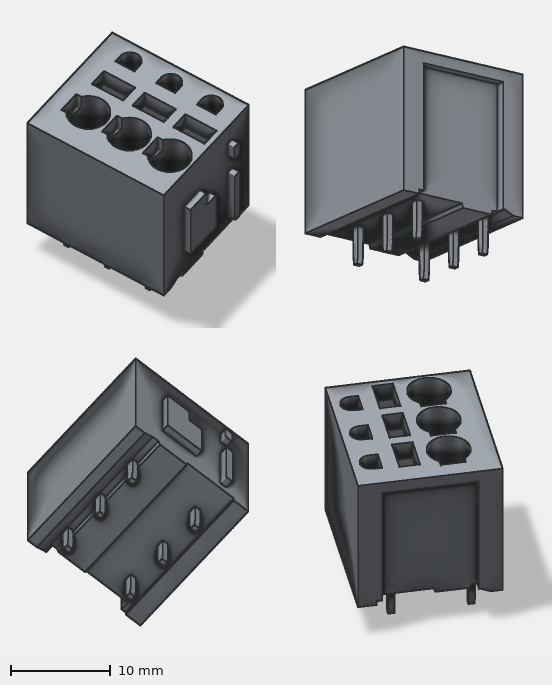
import cadquery as cq


WIDTH, DEPTH, HEIGHT = 16.75, 14.8, 15.2
POLES = 3
PITCH = 5.0

FLOOR_Z = 0.47
FRONT_FOOT_Y = 1.2
FRONT_SLOPE_END_Y = 2.25
RIB_FRONT_Y, RIB_FRONT_TOP_Y = 3.2, 3.0
RIB_BACK_Y, RIB_BACK_TOP_Y = 6.71, 6.83
BACK_FOOT_Y = 12.88

RECESS_DEPTH = 1.0
RECESS_FRONT_Y, RECESS_BACK_Y = 2.43, 12.3
RECESS_TOP_Z = 13.93

WELL_X, WELL_Y = 4.2, 4.7
WELL_RADIUS, WELL_DEPTH = 2.2, 5.05
SLOT_LEFT_X, SLOT_WIDTH = 1.8, 2.58
SLOT_DEPTH, SLOT_FILLET = 2.0, 0.67
WINDOW_LENGTH, WINDOW_WIDTH = 3.83, 2.11
WINDOW_Y, WINDOW_DEPTH = 9.05, 2.0
ARCH_X, ARCH_RADIUS = 3.65, 1.16
ARCH_FLAT_Y, ARCH_CENTER_Y = 11.82, 12.72
ARCH_DEPTH = 5.05

BOSS_PROJECTION = 0.8
RAIL_PROJECTION = 0.9
BOSS_FILLET = 0.22
KEY_Y, KEY_WIDTH = 11.54, 0.86
KEY_BOTTOM_Z, KEY_TOP_Z = 10.8, 12.68
RAIL_BOTTOM_Z, RAIL_TOP_Z = 1.63, 8.38
PLATE_FRONT_Y, PLATE_STEP_Y, PLATE_BACK_Y = 3.52, 6.34, 7.98
PLATE_BOTTOM_Z, PLATE_TOP_Z = 3.53, 10.25
PLATE_STEP_Z = RAIL_TOP_Z
PLATE_STEP_FILLET = 0.15

PIN_X = 3.2
PIN_ROWS_Y = (2.6, 10.8)
PIN_WIDTH, PIN_THICKNESS = 0.8, 0.65
PIN_END_Z = -3.5
TIP_WIDTH, TIP_LENGTH = 0.55, 0.86


def box(x0, x1, y0, y1, z0, z1):
    """Axis-aligned box between two opposite corners."""
    return cq.Workplane("XY").box(x1 - x0, y1 - y0, z1 - z0, centered=False).translate((x0, y0, z0))


def block():
    """Housing cross-section with its stepped underside, swept along X."""
    return (
        cq.Workplane("YZ")
        .polyline([
            (0, HEIGHT),
            (0, 0),
            (FRONT_FOOT_Y, 0),
            (FRONT_SLOPE_END_Y, FLOOR_Z),
            (RIB_FRONT_TOP_Y, FLOOR_Z),
            (RIB_FRONT_Y, 0),
            (RIB_BACK_Y, 0),
            (RIB_BACK_TOP_Y, FLOOR_Z),
            (BACK_FOOT_Y, FLOOR_Z),
            (BACK_FOOT_Y, 0),
            (DEPTH, 0),
            (DEPTH, HEIGHT),
        ])
        .close()
        .extrude(WIDTH)
    )


def mating_recess():
    """Shallow pocket in the -X side, open at the bottom."""
    return box(0, RECESS_DEPTH, RECESS_FRONT_Y, RECESS_BACK_Y, 0, RECESS_TOP_Z)


def wire_entry():
    """Round well with a shallower rounded-bottom slot on its -X side."""
    well = (
        cq.Workplane("XY", origin=(WELL_X, WELL_Y, HEIGHT))
        .circle(WELL_RADIUS)
        .extrude(-WELL_DEPTH)
    )
    half_width = SLOT_WIDTH / 2
    slot = box(
        SLOT_LEFT_X, WELL_X, WELL_Y - half_width, WELL_Y + half_width, HEIGHT - SLOT_DEPTH, HEIGHT
    )
    slot = slot.edges("|X and <Z").fillet(SLOT_FILLET)
    return well.union(slot)


def window():
    """Rectangular pocket."""
    return (
        cq.Workplane("XY", origin=(WELL_X, WINDOW_Y, HEIGHT))
        .rect(WINDOW_LENGTH, WINDOW_WIDTH)
        .extrude(-WINDOW_DEPTH)
    )


def arch_opening():
    """D-shaped pocket: flat on the -Y side, half round on the +Y side."""
    return (
        cq.Workplane("XY", origin=(ARCH_X, 0, HEIGHT))
        .moveTo(-ARCH_RADIUS, ARCH_FLAT_Y)
        .lineTo(ARCH_RADIUS, ARCH_FLAT_Y)
        .lineTo(ARCH_RADIUS, ARCH_CENTER_Y)
        .threePointArc((0, ARCH_CENTER_Y + ARCH_RADIUS), (-ARCH_RADIUS, ARCH_CENTER_Y))
        .close()
        .extrude(-ARCH_DEPTH)
    )


def rounded_bar(bottom_z, top_z, projection):
    """Narrow upright boss with its four long edges rounded."""
    half_width = KEY_WIDTH / 2
    bar = box(WIDTH, WIDTH + projection, KEY_Y - half_width, KEY_Y + half_width, bottom_z, top_z)
    return bar.edges("|X").fillet(BOSS_FILLET)


def stepped_plate():
    """L-shaped boss, lower behind the step, with rounded steps."""
    front = box(
        WIDTH, WIDTH + BOSS_PROJECTION, PLATE_FRONT_Y, PLATE_STEP_Y, PLATE_BOTTOM_Z, PLATE_TOP_Z
    ).edges("|X and >Y and >Z").fillet(BOSS_FILLET)
    back = box(
        WIDTH, WIDTH + BOSS_PROJECTION, PLATE_STEP_Y, PLATE_BACK_Y, PLATE_BOTTOM_Z, PLATE_STEP_Z
    ).edges("|X and >Y and >Z").fillet(BOSS_FILLET)
    inner_corner = cq.NearestToPointSelector(
        (WIDTH + BOSS_PROJECTION / 2, PLATE_STEP_Y, PLATE_STEP_Z)
    )
    return front.union(back).edges(inner_corner).fillet(PLATE_STEP_FILLET)


def make_housing():
    body = block().cut(mating_recess())
    openings = wire_entry().add(window()).add(arch_opening())
    for pole in range(POLES):
        for opening in openings.vals():
            body = body.cut(cq.Workplane(opening.translate(cq.Vector(pole * PITCH, 0, 0))))
    body = body.union(rounded_bar(KEY_BOTTOM_Z, KEY_TOP_Z, BOSS_PROJECTION))
    body = body.union(rounded_bar(RAIL_BOTTOM_Z, RAIL_TOP_Z, RAIL_PROJECTION))
    return body.union(stepped_plate())


def make_pin(x, y):
    """Flat pin hanging from the raised floor, tapered at its end."""
    half_width = PIN_WIDTH / 2
    half_tip = TIP_WIDTH / 2
    taper_z = PIN_END_Z + TIP_LENGTH
    return (
        cq.Workplane("XZ", origin=(x, y, 0))
        .polyline([
            (-half_width, FLOOR_Z),
            (-half_width, taper_z),
            (-half_tip, PIN_END_Z),
            (half_tip, PIN_END_Z),
            (half_width, taper_z),
            (half_width, FLOOR_Z),
        ])
        .close()
        .extrude(PIN_THICKNESS / 2, both=True)
    )


housing = make_housing()
pins = [make_pin(PIN_X + pole * PITCH, row_y) for row_y in PIN_ROWS_Y for pole in range(POLES)]

result = cq.Compound.makeCompound([housing.solids().val(), *[pin.val() for pin in pins]])